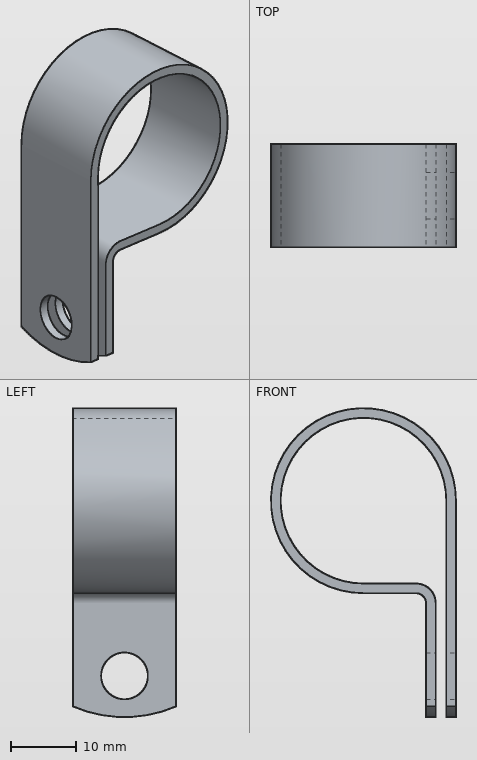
import cadquery as cq
import math

strap_thickness = 1.524
strap_width = 15.875
loop_inner_radius = 12.7
loop_outer_radius = loop_inner_radius + strap_thickness

overall_height = 47.48
leg_gap = 1.5875
bend_inner_radius = 1.524
bend_outer_radius = bend_inner_radius + strap_thickness
leg_end_radius = 19.9

hole_diameter = 7.144
hole_end_distance = 6.35

leg_bottom_z = loop_outer_radius - overall_height
outer_leg_inner_x = loop_inner_radius
inner_leg_right_x = outer_leg_inner_x - leg_gap
inner_leg_left_x = inner_leg_right_x - strap_thickness
hole_z = leg_bottom_z + hole_end_distance
bend_center_x = inner_leg_right_x - bend_outer_radius
bend_center_z = -loop_inner_radius - bend_outer_radius


def bent_strap():
    """Constant-thickness strap: long leg, three-quarter loop, flat web, bend, short leg."""
    diagonal = math.sqrt(0.5)
    outer_mid = loop_outer_radius * diagonal
    inner_mid = loop_inner_radius * diagonal
    bend_outer_mid = bend_outer_radius * diagonal
    bend_inner_mid = bend_inner_radius * diagonal
    return (
        cq.Workplane("XZ", origin=(0, strap_width / 2, 0))
        .moveTo(loop_outer_radius, leg_bottom_z)
        .lineTo(loop_outer_radius, 0)
        .threePointArc((-outer_mid, outer_mid), (0, -loop_outer_radius))
        .lineTo(bend_center_x, -loop_outer_radius)
        .threePointArc(
            (bend_center_x + bend_inner_mid, bend_center_z + bend_inner_mid),
            (inner_leg_left_x, bend_center_z),
        )
        .lineTo(inner_leg_left_x, leg_bottom_z)
        .lineTo(inner_leg_right_x, leg_bottom_z)
        .lineTo(inner_leg_right_x, bend_center_z)
        .threePointArc(
            (bend_center_x + bend_outer_mid, bend_center_z + bend_outer_mid),
            (bend_center_x, -loop_inner_radius),
        )
        .lineTo(0, -loop_inner_radius)
        .threePointArc((-inner_mid, inner_mid), (outer_leg_inner_x, 0))
        .lineTo(outer_leg_inner_x, leg_bottom_z)
        .close()
        .extrude(strap_width)
    )


def rounded_end_envelope():
    """Block around the strap whose lower end is the arc that rounds both leg ends."""
    half_width = strap_width / 2
    end_rise = leg_end_radius - math.sqrt(leg_end_radius**2 - half_width**2)
    corner_z = leg_bottom_z + end_rise
    return (
        cq.Workplane("YZ", origin=(-loop_outer_radius, 0, 0))
        .moveTo(-half_width, loop_outer_radius)
        .lineTo(-half_width, corner_z)
        .threePointArc((0, leg_bottom_z), (half_width, corner_z))
        .lineTo(half_width, loop_outer_radius)
        .close()
        .extrude(2 * loop_outer_radius)
    )


def bolt_hole():
    """Cylinder along X that passes through both legs."""
    return (
        cq.Workplane("YZ", origin=(0, 0, hole_z))
        .circle(hole_diameter / 2)
        .extrude(2 * loop_outer_radius)
    )


result = bent_strap().intersect(rounded_end_envelope()).cut(bolt_hole())